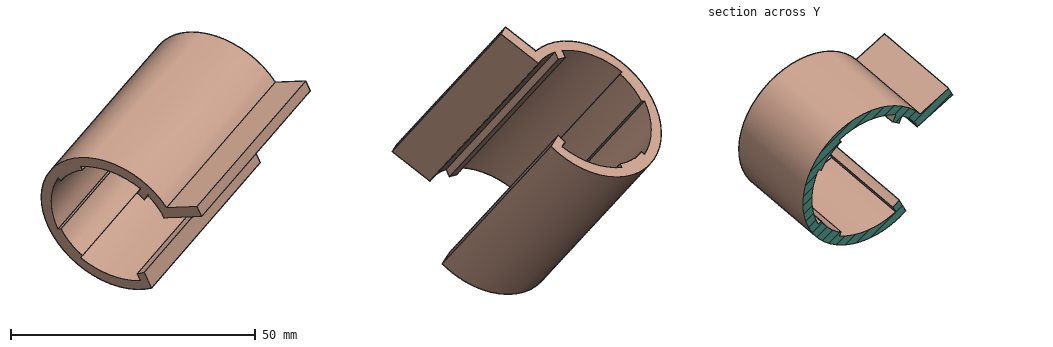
import math

import cadquery as cq


LENGTH = 45.0
OUTER_RADIUS = 16.5
BORE_RADIUS = 14.35
FLANK_DISTANCE = 14.1
FLANK_RADIUS = 15.9
FLANK_ANGLES = (0, 90, 180, 270)

PAD_RADIUS = 13.47
PAD_START_ANGLE = 120.0
PAD_END_ANGLE = 151.0

ARM_ANGLE = 25.5
ARM_THICKNESS = 2.5
ARM_ROOT = 14.2
ARM_TIP = 24.1
ARM_OFFSET = 0.9

HOOK_RADIUS = 12.6
HOOK_WIDTH = 2.0
HOOK_OUTER_OFFSET = 2.85
HOOK_LEAN = 90.0 - ARM_ANGLE

REACH = 2 * OUTER_RADIUS
EMBED_RADIUS = (OUTER_RADIUS + BORE_RADIUS) / 2


def extrude(sketch):
    """Extrude an XZ profile over the tube length, centred on Y = 0."""
    return sketch.extrude(LENGTH / 2, both=True)


def cylinder(radius, centre=(0, 0)):
    return extrude(cq.Workplane("XZ").center(*centre).circle(radius))


def inner_band(inner_radius):
    """Ring from the middle of the wall inwards to the given radius."""
    return cylinder(EMBED_RADIUS).cut(cylinder(inner_radius))


def polar(radius, angle):
    """XZ point at a radius and angle about the tube axis."""
    turn = math.radians(angle)
    return (radius * math.cos(turn), radius * math.sin(turn))


def sector(start_angle, end_angle):
    """Wedge from the axis, narrower than 180 degrees, reaching beyond the tube."""
    middle_angle = (start_angle + end_angle) / 2
    return extrude(
        cq.Workplane("XZ")
        .lineTo(*polar(REACH, start_angle))
        .threePointArc(polar(REACH, middle_angle), polar(REACH, end_angle))
        .close()
    )


def tilted_box(angle, along_start, along_end, side_start, side_end):
    """Box whose sides run along a direction tilted from +X, placed by distances from the axis."""
    box = extrude(
        cq.Workplane("XZ")
        .moveTo(along_start, side_start)
        .lineTo(along_end, side_start)
        .lineTo(along_end, side_end)
        .lineTo(along_start, side_end)
        .close()
    )
    return box.rotate((0, 0, 0), (0, 1, 0), -angle)


def mirrored(body):
    """Copy reflected from the upper half to the lower half."""
    return body.mirror("XY")


def make_bore():
    """Round bore drawn in slightly along four flatter flanks, a quarter turn apart."""
    bore = cylinder(BORE_RADIUS)
    for angle in FLANK_ANGLES:
        centre = polar(FLANK_DISTANCE - FLANK_RADIUS, angle)
        bore = bore.intersect(cylinder(FLANK_RADIUS, centre))
    return bore


def make_pad():
    """Thickened stretch on the inside of the wall."""
    band = inner_band(PAD_RADIUS)
    return band.intersect(sector(PAD_START_ANGLE, PAD_END_ANGLE))


def make_hook():
    """Leaning catch on the inside of the upper wall."""
    band = inner_band(HOOK_RADIUS)
    hook_inner_offset = HOOK_OUTER_OFFSET - HOOK_WIDTH
    strip = tilted_box(HOOK_LEAN, 0, REACH, -HOOK_OUTER_OFFSET, -hook_inner_offset)
    return band.intersect(strip)


def make_mouth():
    """Opening of the tube, from the lower hook's outer face up to the arm's underside."""
    below_arm = tilted_box(ARM_ANGLE, 0, REACH, -REACH, ARM_OFFSET)
    above_lower_hook = mirrored(
        tilted_box(HOOK_LEAN, -REACH, REACH, -REACH, -HOOK_OUTER_OFFSET)
    )
    return below_arm.intersect(above_lower_hook)


def make_arm():
    """Flat tab leaving the upper lip of the mouth."""
    return tilted_box(ARM_ANGLE, ARM_ROOT, ARM_TIP, ARM_OFFSET, ARM_OFFSET + ARM_THICKNESS)


tube = cylinder(OUTER_RADIUS).cut(make_bore()).cut(make_mouth())
result = tube.union(make_arm())
for feature in (make_pad(), make_hook()):
    result = result.union(feature).union(mirrored(feature))